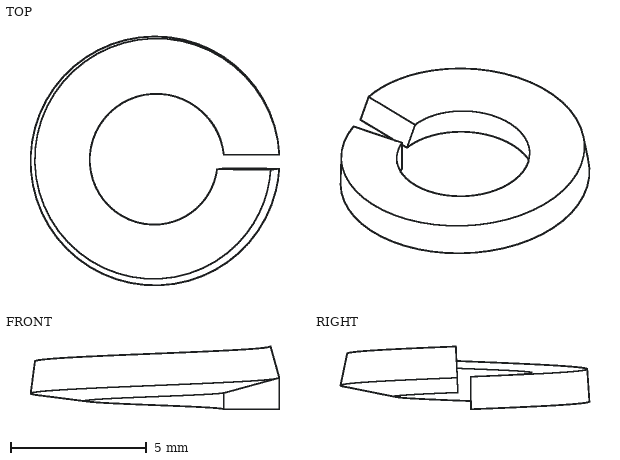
import cadquery as cq
import math

outer_radius = 4.595
section_width = 2.05
section_height = 1.2
rise = 1.17
twist = 15.3

slot_lower_end_y = 0.22
slot_upper_end_y = -0.285
slot_lean = 2.3

blank_margin = 1.5
points_per_edge = 49

start_angle = math.degrees(math.asin(slot_lower_end_y / outer_radius))
end_angle = 360 + math.degrees(math.asin(slot_upper_end_y / outer_radius))


def corner_point(inward, upward, angle):
    """Point of the section that pivots on its outer lower corner, at an angle around Z."""
    progress = (angle - start_angle) / (end_angle - start_angle)
    tilt = math.radians(twist * progress)
    radius = outer_radius - inward * math.cos(tilt) - upward * math.sin(tilt)
    height = rise * progress - inward * math.sin(tilt) + upward * math.cos(tilt)
    turn = math.radians(angle)
    return cq.Vector(radius * math.cos(turn), radius * math.sin(turn), height)


def corner_edge(inward, upward):
    """Climbing curve traced by one corner of the section."""
    step = (360 - 2 * blank_margin) / (points_per_edge - 1)
    angles = [blank_margin + step * i for i in range(points_per_edge)]
    return cq.Edge.makeSpline([corner_point(inward, upward, a) for a in angles])


def end_face(edges, position):
    """Flat face closing the twisted bar at the start (0) or the finish (1) of its edges."""
    corners = [edge.positionAt(position) for edge in edges]
    return cq.Face.makeFromWires(cq.Wire.makePolygon(corners, close=True))


def twisted_bar():
    corners = [(0, 0), (section_width, 0), (section_width, section_height), (0, section_height)]
    edges = [corner_edge(*corner) for corner in corners]
    sides = [cq.Face.makeRuledSurface(edges[i - 1], edges[i]) for i in range(len(edges))]
    ends = [end_face(edges, 0), end_face(edges, 1)]
    shell = cq.Shell.makeShell(sides + ends)
    return cq.Workplane(obj=cq.Solid.makeSolid(shell).fix())


def slot():
    """Cutter with one upright wall and one leaning wall, reaching past the bar on all sides."""
    reach = 2 * rise + section_height
    lean = math.tan(math.radians(slot_lean))
    upper_wall_low_y = slot_upper_end_y + (reach + rise) * lean
    upper_wall_high_y = slot_upper_end_y - (reach - rise) * lean
    return (
        cq.Workplane("YZ")
        .moveTo(slot_lower_end_y, -reach)
        .lineTo(slot_lower_end_y, reach)
        .lineTo(upper_wall_high_y, reach)
        .lineTo(upper_wall_low_y, -reach)
        .close()
        .extrude(2 * outer_radius)
    )


result = twisted_bar().cut(slot())